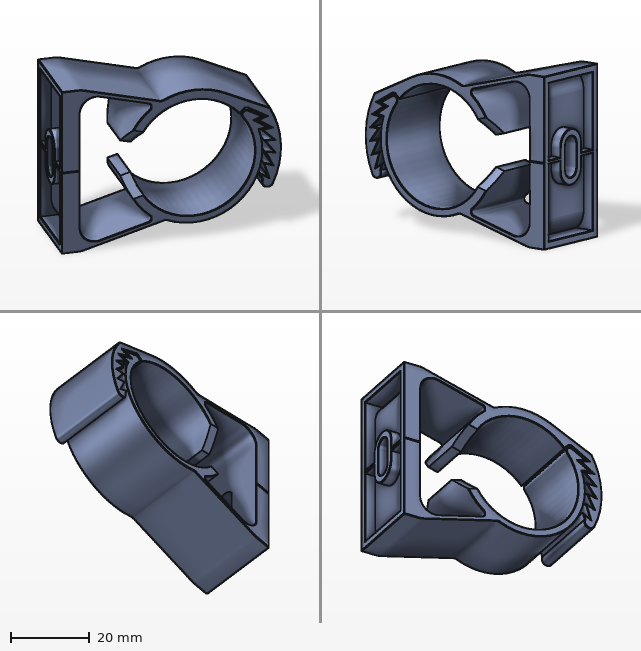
import cadquery as cq
import math

width = 21.8
total_length = 58.0
base_height = 44.8
edge_break = 0.2

bore_radius = 16.0
strap_radius = 18.05
shell_radius = 18.8
hook_radius = 22.95
ring_y = total_length - hook_radius

mouth_half_angle = 15.0
jaw_corner_cut = 5.0

slope_angle = 15.0
slope_start_y = 5.1
slope_blend_radius = 5.6
arm_thickness = 1.2
base_depth = 4.8
opening_radius = 4.25
web_radius = 1.0
neck_radius = 1.5

wall = 2.0
floor_thickness = 1.8
slot_width = 4.6
slot_length = 10.65
boss_wall = 2.0
rib_thickness = 0.9

seam_width = 0.35
seam_depth = 0.2

tooth_count = 6
first_tooth_angle = 25.6
tooth_pitch = 9.5
hook_valley_radius = 21.1
hook_crest_radius = 18.55
hook_crest_lead = 1.2
strap_tooth_count = 2
strap_crest_radius = 20.4
strap_crest_lead = 1.1
strap_valley_lead = 2.2

hook_corner_angle = 29.5
hook_tip_angle = -25.0
hook_tip_radius = 1.55
hook_heel_angle = 42.0
heel_relief_radius = 18.45
heel_relief_angle = 41.0
strap_nose_angle = 37.0
strap_nose_radius = 1.15

half_width = width / 2
half_height = base_height / 2
slope = math.tan(math.radians(slope_angle))
slope_cos = math.cos(math.radians(slope_angle))
jaw_angle = 180 - mouth_half_angle


def polar(radius, angle):
    """Point (Y, Z) at a radius and angle about the ring axis."""
    a = math.radians(angle)
    return ring_y + radius * math.cos(a), radius * math.sin(a)


def extrude_x(outline, length=width):
    """Extrude a YZ outline equally to both sides of X = 0."""
    return outline.extrude(length / 2, both=True)


def disc(radius):
    return extrude_x(cq.Workplane("YZ").center(ring_y, 0).circle(radius))


def tooth_angle(index):
    return first_tooth_angle - index * tooth_pitch


def slope_height(y, inset=0.0):
    """Half height of the sloping arms at y, moved inward by inset."""
    return half_height - (y - slope_start_y) * slope - inset / slope_cos


def make_opening():
    """Space enclosed by the base, the arms and the outside of the ring."""
    near = slope_height(base_depth, arm_thickness)
    far = slope_height(ring_y, arm_thickness)
    outline = [(base_depth, -near), (base_depth, near), (ring_y, far), (ring_y, -far)]
    opening = extrude_x(cq.Workplane("YZ").polyline(outline).close()).cut(disc(shell_radius))
    opening = opening.edges("|X and <Y").fillet(opening_radius)
    web_y = ring_y - shell_radius / math.sqrt(2)
    web_z = slope_height(web_y, arm_thickness)
    for side in (1, -1):
        web = cq.selectors.NearestToPointSelector((0, web_y, side * web_z))
        opening = opening.edges(web).fillet(web_radius)
    return opening


def make_frame():
    """Base block and arms, opened out and bored for the ring."""
    far = slope_height(ring_y)
    outline = [
        (0, -half_height), (0, half_height), (slope_start_y, half_height),
        (ring_y, far), (ring_y, -far), (slope_start_y, -half_height),
    ]
    frame = extrude_x(cq.Workplane("YZ").polyline(outline).close())
    for side in (1, -1):
        bend = cq.selectors.NearestToPointSelector((0, slope_start_y, side * half_height))
        frame = frame.edges(bend).fillet(slope_blend_radius)
    mouth_reach = shell_radius / math.cos(math.radians(mouth_half_angle))
    mouth = [polar(0, 0), polar(mouth_reach, jaw_angle), polar(mouth_reach, -jaw_angle)]
    mouth_cut = extrude_x(cq.Workplane("YZ").polyline(mouth).close())
    mouth_cut = mouth_cut.intersect(disc(shell_radius))
    return frame.cut(make_opening()).cut(disc(bore_radius)).cut(mouth_cut)


def make_upper_jaw():
    """Thick upper half of the ring with the toothed hook."""
    tangent_angle = hook_corner_angle + math.degrees(math.acos(shell_radius / hook_radius))
    tip_middle_radius = hook_radius - hook_tip_radius
    tip_y, tip_z = polar(tip_middle_radius, hook_tip_angle)
    tip_direction = math.radians(hook_tip_angle - 90)
    tip_end = (
        tip_y + hook_tip_radius * math.cos(tip_direction),
        tip_z + hook_tip_radius * math.sin(tip_direction),
    )
    outline = (
        cq.Workplane("YZ")
        .moveTo(*polar(bore_radius, hook_heel_angle))
        .lineTo(*polar(strap_radius, hook_heel_angle))
        .lineTo(*polar(heel_relief_radius, heel_relief_angle))
    )
    for index in range(tooth_count):
        angle = tooth_angle(index)
        outline = outline.lineTo(*polar(hook_valley_radius, angle))
        outline = outline.lineTo(*polar(hook_crest_radius, angle + hook_crest_lead))
    outline = (
        outline.lineTo(*polar(tip_middle_radius - hook_tip_radius, hook_tip_angle))
        .threePointArc(tip_end, polar(hook_radius, hook_tip_angle))
        .threePointArc(polar(hook_radius, 0), polar(hook_radius, hook_corner_angle))
        .lineTo(*polar(shell_radius, tangent_angle))
        .threePointArc(polar(shell_radius, 90), polar(shell_radius, jaw_angle))
        .lineTo(*polar(bore_radius, jaw_angle))
        .threePointArc(polar(bore_radius, 90), polar(bore_radius, hook_heel_angle))
        .close()
    )
    return extrude_x(outline)


def make_strap():
    """Thin lower half of the ring, ending in teeth that sit in the hook."""
    nose_y, nose_z = polar(bore_radius + strap_nose_radius, strap_nose_angle)
    crest_y, crest_z = polar(strap_crest_radius, first_tooth_angle + strap_crest_lead)
    crest_distance = math.hypot(crest_y - nose_y, crest_z - nose_z)
    crest_direction = math.atan2(crest_z - nose_z, crest_y - nose_y)
    touch_direction = crest_direction + math.acos(strap_nose_radius / crest_distance)
    nose_start = (
        nose_y + strap_nose_radius * math.cos(touch_direction),
        nose_z + strap_nose_radius * math.sin(touch_direction),
    )
    outline = (
        cq.Workplane("YZ")
        .moveTo(*polar(bore_radius, -jaw_angle))
        .lineTo(*polar(strap_radius, -jaw_angle))
        .threePointArc(
            polar(strap_radius, -90),
            polar(strap_radius, tooth_angle(strap_tooth_count - 1) + strap_valley_lead),
        )
    )
    for index in reversed(range(strap_tooth_count)):
        angle = tooth_angle(index)
        if index < strap_tooth_count - 1:
            outline = outline.lineTo(*polar(strap_radius, angle + strap_valley_lead))
        outline = outline.lineTo(*polar(strap_crest_radius, angle + strap_crest_lead))
    outline = (
        outline.lineTo(*nose_start)
        .tangentArcPoint(polar(bore_radius, strap_nose_angle), relative=False)
        .threePointArc(polar(bore_radius, -90), polar(bore_radius, -jaw_angle))
        .close()
    )
    return extrude_x(outline)


def round_necks(body):
    """Blend the arms into the outside of the ring."""
    line_distance = slope_height(ring_y) * slope_cos
    for side, radius in ((1, shell_radius), (-1, strap_radius)):
        angle = 90 - slope_angle + math.degrees(math.acos(line_distance / radius))
        y, z = polar(radius, side * angle)
        body = body.edges(cq.selectors.NearestToPointSelector((0, y, z))).fillet(neck_radius)
    return body


def cut_jaw_corners(body):
    """Bevel both corners of each jaw end at 45 degrees."""
    inner_corner = half_width - jaw_corner_cut
    for side in (1, -1):
        tilt = math.radians(side * jaw_angle)
        radial = cq.Plane((0, ring_y, 0), (1, 0, 0), (0, math.cos(tilt), math.sin(tilt)))
        for end in (1, -1):
            triangle = [
                (end * inner_corner, 0), (end * half_width, 0),
                (end * half_width, side * jaw_corner_cut),
            ]
            wedge = cq.Workplane(radial).polyline(triangle).close().extrude(shell_radius)
            body = body.cut(wedge)
    return body


def cut_seam(body):
    """V groove across both side faces of the base at mid height."""
    for end in (1, -1):
        triangle = [
            (end * half_width, seam_width / 2), (end * half_width, -seam_width / 2),
            (end * (half_width - seam_depth), 0),
        ]
        body = body.cut(cq.Workplane("XZ").polyline(triangle).close().extrude(-base_depth))
    return body


def make_pocket():
    """Hollow in the base face that leaves the boss and the rib standing."""
    floor_y = base_depth - floor_thickness
    deep_y = base_depth + opening_radius
    bend_y = slope_start_y - wall * math.tan(math.radians(slope_angle / 2))
    ceiling = half_height - wall
    deep_ceiling = slope_height(deep_y, wall)
    outline = [
        (0, -ceiling), (0, ceiling), (bend_y, ceiling), (deep_y, deep_ceiling),
        (deep_y, -deep_ceiling), (bend_y, -ceiling),
    ]
    pocket = extrude_x(cq.Workplane("YZ").polyline(outline).close(), width - 2 * wall)

    corner_reach = opening_radius / math.tan(math.radians(45 - slope_angle / 2))
    bend_z = slope_height(base_depth, arm_thickness) - corner_reach
    bend_radius = opening_radius + floor_thickness
    floor_block = (
        cq.Workplane("XY")
        .box(width, 2 * bend_radius, 2 * (bend_z + bend_radius))
        .translate((0, floor_y + bend_radius, 0))
        .edges("|X and <Y")
        .fillet(bend_radius)
    )
    boss = (
        cq.Workplane("XZ")
        .slot2D(slot_length + 2 * boss_wall, slot_width + 2 * boss_wall, 90)
        .extrude(-base_depth)
    )
    rib = cq.Workplane("XY").box(width, 2 * base_depth, rib_thickness)
    return pocket.cut(floor_block).cut(boss).cut(rib)


def make_screw_slot():
    """Slot through the boss into the opening."""
    return cq.Workplane("XZ").slot2D(slot_length, slot_width, 90).extrude(-base_depth)


body = make_frame().union(make_upper_jaw()).union(make_strap())
body = round_necks(body)
body = body.cut(make_pocket()).cut(make_screw_slot())
body = body.faces("<Y or <X or >X").edges().chamfer(edge_break)
body = cut_jaw_corners(body)
result = cut_seam(body)